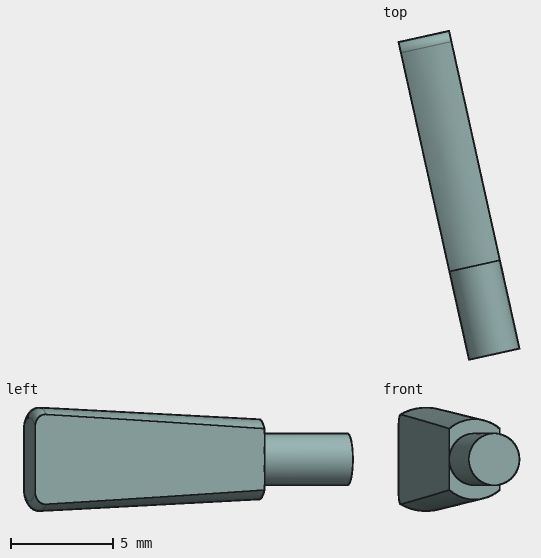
import cadquery as cq

TILT = 12.5
PIN_DIAMETER = 2.54
PIN_LENGTH = 4.43
HANDLE_LENGTH = 11.5
NECK_DIAMETER = 3.93
HEAD_DIAMETER = 5.13
HEAD_ROUNDING = 0.5
HANDLE_THICKNESS = PIN_DIAMETER


def tapered_handle():
    """Cone widening along +Y from the origin, with a rounded end and two parallel flats."""
    cone = (
        cq.Workplane("XY")
        .lineTo(NECK_DIAMETER / 2, 0)
        .lineTo(HEAD_DIAMETER / 2, HANDLE_LENGTH)
        .lineTo(0, HANDLE_LENGTH)
        .close()
        .revolve(360, (0, 0), (0, 1))
        .faces(">Y")
        .edges()
        .fillet(HEAD_ROUNDING)
    )
    slab = cq.Workplane("XY").box(
        HANDLE_THICKNESS, HANDLE_LENGTH, HEAD_DIAMETER, centered=(True, False, True)
    )
    return cone.intersect(slab)


def pin():
    """Round pin running along -Y from the narrow end of the handle."""
    return cq.Workplane("XZ").circle(PIN_DIAMETER / 2).extrude(PIN_LENGTH)


result = tapered_handle().union(pin()).rotate((0, 0, 0), (0, 0, 1), TILT)